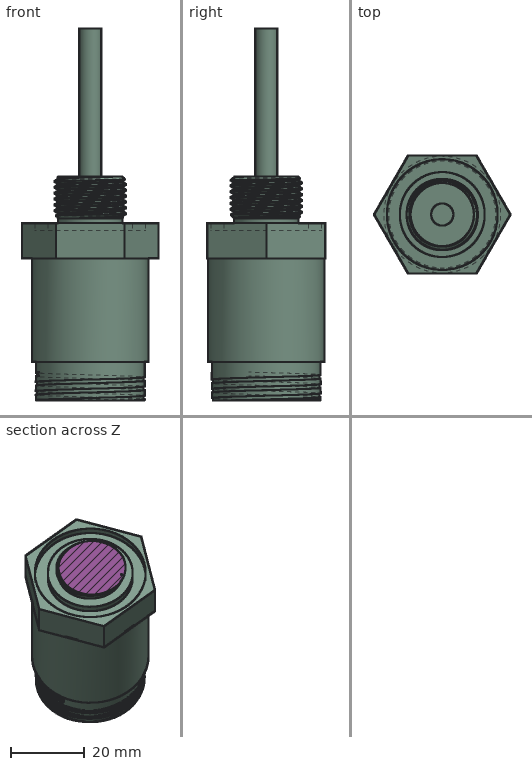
import cadquery as cq
import math

COLLAR_TOP = 10.5
HEX_BOTTOM = 38.5
HEX_TOP = 48.0
STUD_TOP = 60.7
CABLE_LENGTH = 40.0

COLLAR_DIAMETER = 29.5
COLLAR_CHAMFER = 0.25
BODY_DIAMETER = 31.6
HEX_ACROSS_FLATS = 32.0
RECESS_OUTER_DIAMETER = 30.0
RECESS_INNER_DIAMETER = 23.0
RECESS_DEPTH = 2.0
CABLE_DIAMETER = 6.0

NECK_DIAMETER = 17.5
NECK_HEIGHT = 1.3
STUD_END_DIAMETER = 17.1
STUD_ROOT_DIAMETER = 17.3
STUD_CREST_DIAMETER = 19.3
STUD_PITCH = 25.4 / 16
STUD_ROOT_WIDTH = 0.2
STUD_CREST_WIDTH = 0.2
STUD_RUN_OUT_TURNS = 2
STUD_CREST_DROP = 0.6

GROOVE_PITCH = 2.5
GROOVE_WIDTH = 1.0
GROOVE_DEPTH = 0.3
GROOVE_START_LEVEL = -1.67
GROOVE_END_ANGLE = 198.6
GROOVE_FULL_TURNS = 3

OVERLAP = 0.05


def cylinder(diameter, bottom, top):
    return cq.Workplane("XY").workplane(offset=bottom).circle(diameter / 2).extrude(top - bottom)


def helical_cutter(floor_radius, surface_radius, floor_width, surface_width, pitch, start_level, turns):
    """Cutter for a right-hand helical groove of symmetric section, starting at +X."""
    flank_slope = (surface_width - floor_width) / 2 / (surface_radius - floor_radius)
    outer_radius = surface_radius + OVERLAP
    outer_half_width = surface_width / 2 + OVERLAP * flank_slope
    section = [
        (floor_radius, -floor_width / 2),
        (outer_radius, -outer_half_width),
        (outer_radius, outer_half_width),
        (floor_radius, floor_width / 2),
    ]
    helix = cq.Workplane(obj=cq.Wire.makeHelix(pitch, pitch * turns, floor_radius))
    cutter = cq.Workplane("XZ").polyline(section).close().sweep(helix, isFrenet=True)
    return cutter.translate((0, 0, start_level))


def make_body():
    collar = cylinder(COLLAR_DIAMETER, 0, COLLAR_TOP).faces("<Z").chamfer(COLLAR_CHAMFER)
    barrel = cylinder(BODY_DIAMETER, COLLAR_TOP, HEX_BOTTOM)
    return collar.cut(make_collar_groove()).union(barrel)


def make_collar_groove():
    surface_radius = COLLAR_DIAMETER / 2
    turns = GROOVE_FULL_TURNS + GROOVE_END_ANGLE / 360
    return helical_cutter(
        floor_radius=surface_radius - GROOVE_DEPTH,
        surface_radius=surface_radius,
        floor_width=GROOVE_WIDTH,
        surface_width=GROOVE_WIDTH,
        pitch=GROOVE_PITCH,
        start_level=GROOVE_START_LEVEL,
        turns=turns,
    )


def make_hexagon():
    across_corners = HEX_ACROSS_FLATS / math.cos(math.pi / 6)
    hexagon = cq.Workplane("XY").workplane(offset=HEX_BOTTOM).polygon(6, across_corners)
    hexagon = hexagon.extrude(HEX_TOP - HEX_BOTTOM)
    recess_floor = HEX_TOP - RECESS_DEPTH
    recess = cylinder(RECESS_OUTER_DIAMETER, recess_floor, HEX_TOP)
    boss = cylinder(RECESS_INNER_DIAMETER, recess_floor, HEX_TOP)
    return hexagon.cut(recess.cut(boss))


def make_stud():
    thread_bottom = HEX_TOP + NECK_HEIGHT
    neck = cylinder(NECK_DIAMETER, HEX_TOP, thread_bottom)
    end_chamfer = (STUD_CREST_DIAMETER - STUD_END_DIAMETER) / 2
    envelope = cylinder(STUD_CREST_DIAMETER, thread_bottom, STUD_TOP).faces("<Z or >Z").chamfer(end_chamfer)
    return make_threaded_bar(thread_bottom).intersect(envelope).union(neck)


def make_threaded_bar(thread_bottom):
    """Bar longer than the stud at both ends, so that the groove ends lie outside the finished thread."""
    run_out = STUD_RUN_OUT_TURNS * STUD_PITCH
    bar = cylinder(STUD_CREST_DIAMETER, thread_bottom - 2 * run_out, STUD_TOP + 2 * run_out)
    top_root_level = STUD_TOP - STUD_CREST_DROP - STUD_PITCH / 2
    turns_below = math.ceil((top_root_level - thread_bottom) / STUD_PITCH) + STUD_RUN_OUT_TURNS
    groove = helical_cutter(
        floor_radius=STUD_ROOT_DIAMETER / 2,
        surface_radius=STUD_CREST_DIAMETER / 2,
        floor_width=STUD_ROOT_WIDTH,
        surface_width=STUD_PITCH - STUD_CREST_WIDTH,
        pitch=STUD_PITCH,
        start_level=top_root_level - turns_below * STUD_PITCH,
        turns=turns_below + STUD_RUN_OUT_TURNS,
    )
    return bar.cut(groove)


cable = cylinder(CABLE_DIAMETER, STUD_TOP, STUD_TOP + CABLE_LENGTH)
result = make_body().union(make_hexagon()).union(make_stud()).union(cable)